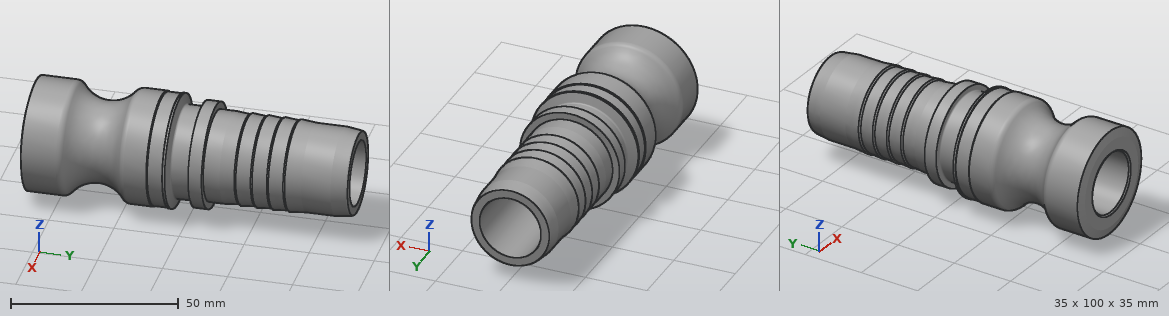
import cadquery as cq
import math

length = 100.0
bore_radius = 20.0 / 2
bore_chamfer = 0.5

head_radius = 35.0 / 2
face_radius = 29.0 / 2
face_bevel_length = 0.8
groove_centre_y = 22.0
groove_floor_radius = 12.5
groove_arc_radius = 11.0
shoulder_fillet = 2.5

band_radius = 34.5 / 2
band_start = 39.3
band_bevel_length = 0.3
rim_start = 44.2
rim_end = 45.0

neck_radius = 28.5 / 2
neck_start = 46.0
neck_fillet = 0.5
flange_radius = 32.5 / 2
flange_start = 51.9
flange_end = 56.0

tail_radius = 28.0 / 2
first_ridge_y = 61.0
barb_pitch = 5.0
barb_count = 5
barb_flank_length = 0.6
barb_root_radius = 13.6
pilot_radius = 27.0 / 2
pilot_end = 95.0
tip_radius = 12.9
tip_bevel_length = 0.5
tip_bevel_depth = 0.2


def add_head(profile):
    """Draw the bevelled face, the head and the round locking groove."""
    groove_centre_radius = groove_floor_radius + groove_arc_radius
    centre_distance = groove_arc_radius + shoulder_fillet
    fillet_centre_radius = head_radius - shoulder_fillet
    radial_gap = groove_centre_radius - fillet_centre_radius
    axial_gap = math.sqrt(centre_distance**2 - radial_gap**2)

    groove_share = groove_arc_radius / centre_distance
    touch_offset = axial_gap * groove_share
    touch_radius = groove_centre_radius - radial_gap * groove_share

    half_turn = math.atan2(axial_gap, radial_gap) / 2
    middle_offset = axial_gap - shoulder_fillet * math.sin(half_turn)
    middle_radius = fillet_centre_radius + shoulder_fillet * math.cos(half_turn)

    return (
        profile.lineTo(face_radius, 0)
        .lineTo(head_radius, face_bevel_length)
        .lineTo(head_radius, groove_centre_y - axial_gap)
        .threePointArc(
            (middle_radius, groove_centre_y - middle_offset),
            (touch_radius, groove_centre_y - touch_offset),
        )
        .threePointArc(
            (groove_floor_radius, groove_centre_y),
            (touch_radius, groove_centre_y + touch_offset),
        )
        .threePointArc(
            (middle_radius, groove_centre_y + middle_offset),
            (head_radius, groove_centre_y + axial_gap),
        )
    )


def add_band_and_flange(profile):
    """Draw the relieved band, the rim, the neck and the flange."""
    return (
        profile.lineTo(head_radius, band_start)
        .lineTo(band_radius, band_start + band_bevel_length)
        .lineTo(band_radius, rim_start)
        .lineTo(head_radius, rim_start)
        .lineTo(head_radius, rim_end)
        .lineTo(neck_radius, neck_start)
        .lineTo(neck_radius, flange_start)
        .lineTo(flange_radius, flange_start)
        .lineTo(flange_radius, flange_end)
        .lineTo(tail_radius, flange_end)
    )


def add_hose_tail(profile):
    """Draw the barbs, the plain pilot and the tapered tip."""
    profile = profile.lineTo(tail_radius, first_ridge_y)
    for barb in range(1, barb_count):
        ridge_y = first_ridge_y + barb * barb_pitch
        profile = profile.lineTo(barb_root_radius, ridge_y - barb_flank_length)
        profile = profile.lineTo(tail_radius, ridge_y)
    pilot_start = first_ridge_y + barb_count * barb_pitch
    return (
        profile.lineTo(pilot_radius, pilot_start)
        .lineTo(pilot_radius, pilot_end)
        .lineTo(tip_radius, length - tip_bevel_length)
        .lineTo(tip_radius - tip_bevel_depth, length)
    )


section = cq.Workplane("XY").moveTo(bore_radius + bore_chamfer, 0)
section = add_head(section)
section = add_band_and_flange(section)
section = add_hose_tail(section)
section = section.lineTo(bore_radius, length).lineTo(bore_radius, bore_chamfer).close()

body = section.revolve(360, (0, 0, 0), (0, 1, 0))

neck_corners = [
    edge
    for edge in body.edges("%CIRCLE").vals()
    if math.isclose(edge.radius(), neck_radius)
]
result = body.newObject(neck_corners).fillet(neck_fillet)